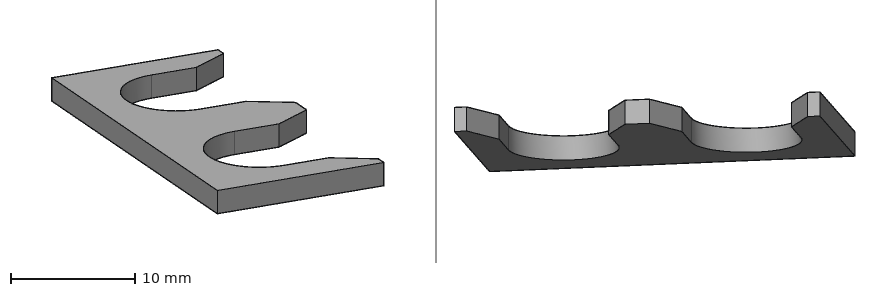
import cadquery as cq
import math

length = 30.0
depth = 15.0
thickness = 2.0

slot_count = 2
slot_pitch = length / slot_count
slot_width = 9.0
floor_wall = 3.0

flare_width = 2.0
flare_angle = 60.0

slot_radius = slot_width / 2
back_y = -depth / 2
mouth_y = depth / 2
slot_center_y = back_y + floor_wall + slot_radius
flare_start_y = mouth_y - flare_width * math.tan(math.radians(flare_angle))


def make_plate():
    return cq.Workplane("XY").box(length, depth, thickness, centered=(True, True, False))


def make_slot(center_x):
    """Round-bottomed slot with a flared mouth, through the full thickness."""
    left = center_x - slot_radius
    right = center_x + slot_radius
    return (
        cq.Workplane("XY")
        .moveTo(left - flare_width, mouth_y)
        .lineTo(left, flare_start_y)
        .lineTo(left, slot_center_y)
        .threePointArc((center_x, slot_center_y - slot_radius), (right, slot_center_y))
        .lineTo(right, flare_start_y)
        .lineTo(right + flare_width, mouth_y)
        .close()
        .extrude(thickness)
    )


result = make_plate()
for index in range(slot_count):
    slot_x = (index - (slot_count - 1) / 2) * slot_pitch
    result = result.cut(make_slot(slot_x))